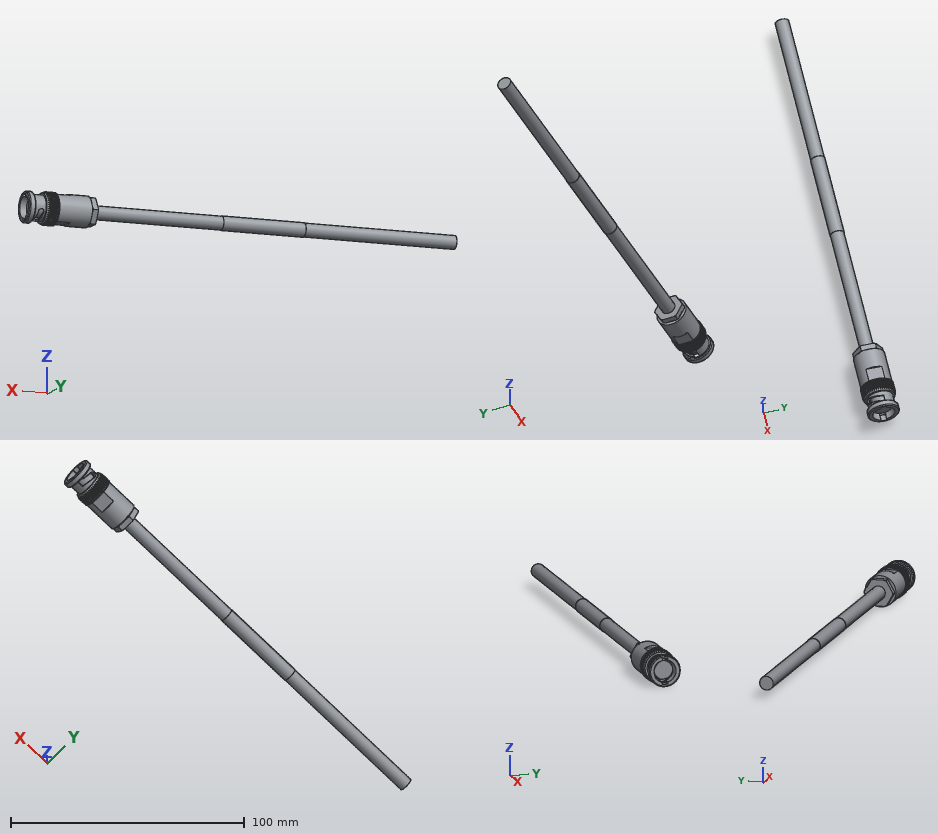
import cadquery as cq
import math

overall_length = 199.14

cable_radius = 3.05
label_radius = 3.2
label_start = 69.85
label_length = 38.1

nut_across_flats = 11.5
nut_corner_radius = nut_across_flats / math.sqrt(3)
nut_start = 167.35
nut_hex_end = 169.9
nut_neck_radius = 5.2
nut_corner_relief = 0.3

barrel_radius = 6.9
barrel_start = 170.35
barrel_end = 185.4
wrench_flat_start = 179.45
wrench_flat_across = 11.9
nose_radius = 4.1
nose_end = 196.4

grip_start = barrel_end
grip_end = 191.3
grip_radius = 14.47 / 2
grip_end_radius = 6.65
grip_rear_chamfer_length = 0.25
grip_front_chamfer_length = 1.5
grip_groove_start = 185.8
grip_groove_width = 0.65
grip_groove_depth = 0.5
tooth_count = 48
tooth_depth = 0.35
tooth_gap_share = 0.7
sleeve_radius = 5.75
sleeve_bore_radius = 4.9
flange_radius = 6.9
flange_start = 196.3
flange_chamfer = 0.45

track_start_angles = (0, 180)
track_width = 2.5
seat_diameter = 2.6
entry_end_x = 194.6
seat_x = 193.3
seat_angle = 63


def cylinder(start, end, radius):
    return cq.Workplane("YZ", origin=(start, 0, 0)).circle(radius).extrude(end - start)


def turned(outline):
    """Revolve an outline of (X, radius) points about the X axis."""
    return cq.Workplane("XY").polyline(outline).close().revolve(360, (0, 0, 0), (1, 0, 0))


def turn_about_axis(part, angle):
    return part.rotate((0, 0, 0), (1, 0, 0), angle)


def make_cable():
    return cylinder(0, nut_start, cable_radius)


def make_label(cable):
    return cylinder(label_start, label_start + label_length, label_radius).cut(cable)


def make_nut():
    prism = (
        cq.Workplane("YZ", origin=(nut_start, 0, 0))
        .polygon(6, 2 * nut_corner_radius)
        .extrude(nut_hex_end - nut_start)
    )
    rounding = cylinder(nut_start, nut_hex_end, nut_corner_radius).edges().chamfer(nut_corner_relief)
    return prism.intersect(rounding).union(cylinder(nut_hex_end, barrel_start, nut_neck_radius))


def make_barrel():
    length = barrel_end - wrench_flat_start
    slab = (
        cq.Workplane("XY", origin=(wrench_flat_start, 0, 0))
        .box(length, 2 * barrel_radius, wrench_flat_across, centered=(False, True, True))
    )
    flatted = cylinder(wrench_flat_start, barrel_end, barrel_radius).intersect(slab)
    barrel = cylinder(barrel_start, wrench_flat_start, barrel_radius).union(flatted)
    return barrel.union(cylinder(barrel_end, nose_end, nose_radius))


def coupling_blank():
    groove_end = grip_groove_start + grip_groove_width
    groove_radius = grip_radius - grip_groove_depth
    return turned([
        (grip_start, nose_radius),
        (grip_start, grip_end_radius),
        (grip_start + grip_rear_chamfer_length, grip_radius),
        (grip_groove_start, grip_radius),
        (grip_groove_start, groove_radius),
        (groove_end, groove_radius),
        (groove_end, grip_radius),
        (grip_end - grip_front_chamfer_length, grip_radius),
        (grip_end, grip_end_radius),
        (grip_end, sleeve_radius),
        (flange_start, sleeve_radius),
        (flange_start, flange_radius - flange_chamfer),
        (flange_start + flange_chamfer, flange_radius),
        (overall_length - flange_chamfer, flange_radius),
        (overall_length, flange_radius - flange_chamfer),
        (overall_length, sleeve_bore_radius),
        (grip_end, sleeve_bore_radius),
        (grip_end, nose_radius),
    ])


def knurl_cuts():
    """V-shaped gaps between the grip teeth, placed so that a tooth tip lies on each of Y and Z."""
    pitch = 360 / tooth_count
    half_width = grip_radius * math.tan(math.radians(tooth_gap_share * pitch / 2))
    gap = (
        cq.Workplane("YZ", origin=(grip_start, 0, 0))
        .polyline([(grip_radius - tooth_depth, 0), (grip_radius, -half_width), (grip_radius, half_width)])
        .close()
        .extrude(grip_end - grip_start)
    )
    return [turn_about_axis(gap, (i + 0.5) * pitch).val() for i in range(tooth_count)]


def bayonet_track():
    """One track starting at +Z, cut through the sleeve wall but kept below the flange rim."""
    reach = 2 * sleeve_radius
    entry_back = entry_end_x - track_width / 2
    entry = (
        cq.Workplane("XY", origin=(entry_back, 0, 0))
        .box(overall_length - entry_back, track_width, reach, centered=(False, True, False))
    )
    seat = turn_about_axis(
        cq.Workplane("XY", origin=(seat_x, 0, 0)).circle(seat_diameter / 2).extrude(reach), seat_angle
    )
    rise = seat_x - entry_end_x
    run = 2 * sleeve_radius * math.sin(math.radians(seat_angle / 2))
    ramp = turn_about_axis(
        cq.Workplane("XY", origin=((seat_x + entry_end_x) / 2, 0, 0))
        .transformed(rotate=(0, 0, math.degrees(math.atan2(-run, rise))))
        .rect(math.hypot(run, rise), track_width)
        .extrude(reach),
        seat_angle / 2,
    )
    return entry.union(ramp).union(seat).intersect(cylinder(grip_end, overall_length, sleeve_radius))


def make_coupling():
    coupling = cq.Workplane(coupling_blank().val().cut(*knurl_cuts()))
    for angle in track_start_angles:
        coupling = coupling.cut(turn_about_axis(bayonet_track(), angle))
    return coupling


cable = make_cable()
label = make_label(cable)
nut = make_nut()
barrel = make_barrel()
coupling = make_coupling()
bodies = [cable, label, nut, barrel, coupling]
result = cq.Compound.makeCompound([body.solids().val() for body in bodies])